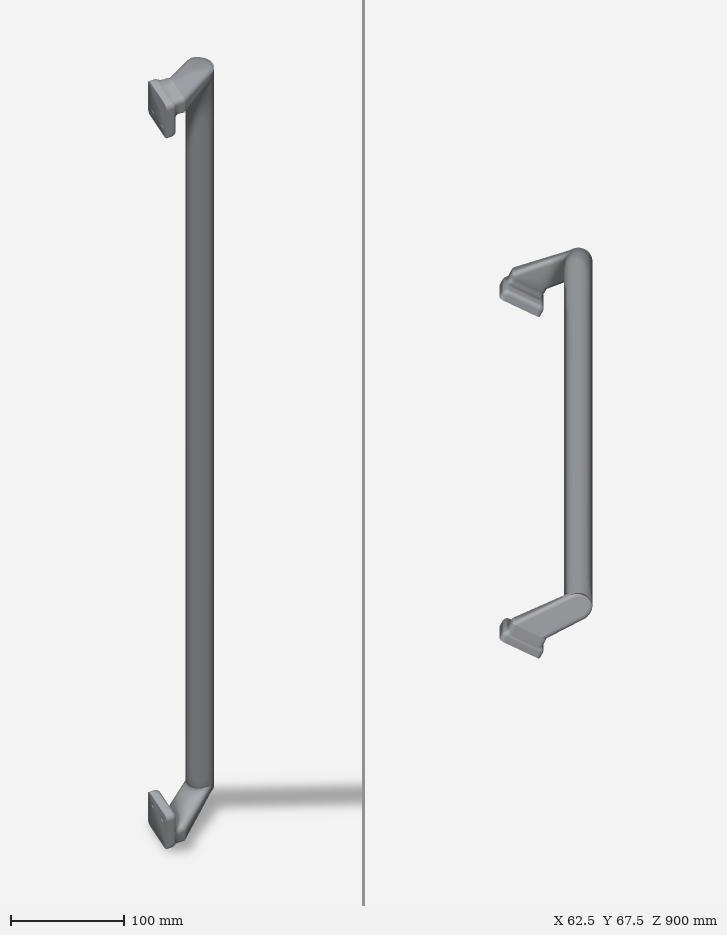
import cadquery as cq
import math

overall_height = 900.0
rod_diameter = 25.0
rod_radius = rod_diameter / 2
rod_x = rod_radius
rod_y = 55.0
joint_inset = 45.0

plate_size = 40.0
plate_thickness = 10.0
plate_x = rod_x + 30.0
plate_corner_radius = 4.5
plate_rim_radius = 4.0

hole_diameter = 5.0
hole_spacing = 20.0
hole_edge_distance = 10.0
hole_depth = 8.0

arm_root_width = 34.0
arm_fold_y = 19.0
arm_top_slope = math.tan(math.radians(17.0))
arm_under_slope = math.tan(math.radians(9.0))
arm_step = 0.5
arm_root_height = 15.0
arm_edge_radius = 4.0
arm_root_radius = 4.0

arm_top_z = overall_height - arm_step
profile_overrun = 2.0
profile_end_y = rod_y + rod_radius + profile_overrun
joint_z = overall_height - joint_inset


def tangent_point(x, y, side):
    """Point where a line from (x, y) touches the rod circle; side is +1 or -1."""
    dx = x - rod_x
    dy = y - rod_y
    angle = math.atan2(dy, dx) + side * math.acos(rod_radius / math.hypot(dx, dy))
    return rod_x + rod_radius * math.cos(angle), rod_y + rod_radius * math.sin(angle)


def arm_top(y):
    """Height of the arm's top, which is level up to the fold."""
    return arm_top_z - max(y - arm_fold_y, 0.0) * arm_top_slope


def arm_underside(y):
    """Height of the arm's flat, gently sloping underside."""
    return arm_top_z - arm_root_height - y * arm_under_slope


def arm_side_profile():
    """Side profile of the arm as a block across its whole width."""
    return (
        cq.Workplane("YZ")
        .moveTo(0, arm_underside(0))
        .lineTo(0, arm_top(0))
        .lineTo(arm_fold_y, arm_top(arm_fold_y))
        .lineTo(profile_end_y, arm_top(profile_end_y))
        .lineTo(profile_end_y, arm_underside(profile_end_y))
        .close()
        .extrude(plate_x + plate_size)
    )


def make_arm():
    """Tapering arm that ends in a half circle around the rod axis."""
    left_x = plate_x - arm_root_width / 2
    right_x = plate_x + arm_root_width / 2
    left_touch = tangent_point(left_x, arm_fold_y, -1)
    right_touch = tangent_point(right_x, arm_fold_y, 1)
    far_angle = math.atan2(rod_y - arm_fold_y, rod_x - plate_x)
    far_point = (
        rod_x + rod_radius * math.cos(far_angle),
        rod_y + rod_radius * math.sin(far_angle),
    )
    arm_start_y = plate_thickness / 2
    return (
        cq.Workplane("XY", origin=(0, 0, joint_z))
        .moveTo(left_x, arm_start_y)
        .lineTo(right_x, arm_start_y)
        .lineTo(right_x, arm_fold_y)
        .lineTo(*right_touch)
        .threePointArc(far_point, left_touch)
        .lineTo(left_x, arm_fold_y)
        .lineTo(left_x, arm_start_y)
        .close()
        .extrude(joint_inset)
        .intersect(arm_side_profile())
    )


def make_rod(bottom_z, length):
    """Round bar on the rod axis."""
    return (
        cq.Workplane("XY", origin=(rod_x, rod_y, bottom_z))
        .circle(rod_radius)
        .extrude(length)
    )


def make_plate():
    """Plate with rounded corners, a front face rounded along its top and bottom."""
    return (
        cq.Workplane("XY")
        .box(plate_size, plate_thickness, plate_size)
        .edges(">Y and |X")
        .fillet(plate_rim_radius)
        .edges("|Y")
        .fillet(plate_corner_radius)
        .translate((plate_x, plate_thickness / 2, overall_height - plate_size / 2))
    )


def cut_screw_holes(bracket):
    """Two blind holes in the mounting face."""
    hole_z = overall_height - plate_size + hole_edge_distance
    for side in (-1, 1):
        hole = (
            cq.Workplane("XZ", origin=(plate_x + side * hole_spacing / 2, 0, hole_z))
            .circle(hole_diameter / 2)
            .extrude(-hole_depth)
        )
        bracket = bracket.cut(hole)
    return bracket


def runs_along_arm(edge):
    """True for the edges that border the arm's top and underside."""
    direction = edge.tangentAt(0.5)
    across = abs(direction.x) > 0.99 or abs(direction.z) > 0.99
    return not across


def make_top_bracket():
    """Plate, arm and rod stub in one solid."""
    arm = make_arm()
    arm = arm.edges().filter(runs_along_arm).fillet(arm_edge_radius)
    stub_top_z = arm_top(rod_y + rod_radius)
    stub = make_rod(joint_z, stub_top_z - joint_z)
    bracket = arm.union(stub).union(make_plate())
    root_middle = (plate_x, plate_thickness, arm_underside(plate_thickness))
    bracket = bracket.edges(cq.selectors.NearestToPointSelector(root_middle)).fillet(arm_root_radius)
    return cut_screw_holes(bracket)


top_bracket = make_top_bracket()
bottom_bracket = top_bracket.mirror("XY", (0, 0, overall_height / 2))
rod = make_rod(joint_inset, overall_height - 2 * joint_inset)

result = cq.Compound.makeCompound([top_bracket.val(), bottom_bracket.val(), rod.val()])